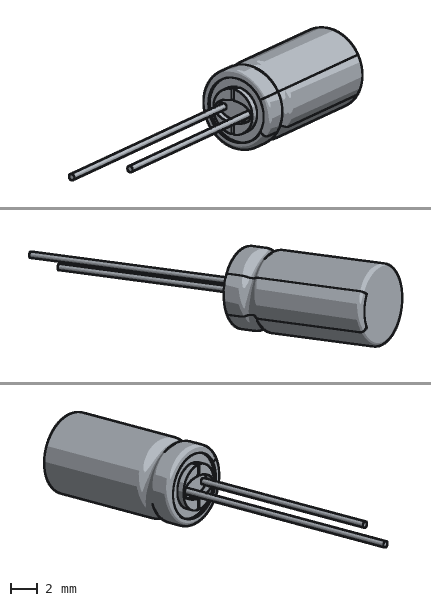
import cadquery as cq
import math


can_diameter = 6.3
can_radius = can_diameter / 2
overall_height = 12.5
foot_standoff = 0.4
can_bottom = foot_standoff
can_top = overall_height
edge_fillet = 0.3

groove_center = can_bottom + 2.2
groove_depth = 0.34
groove_half_width = 0.76
groove_root_half_width = 0.41

stripe_angle = 60
wall_thickness = 0.6

plug_radius = can_radius - wall_thickness
plug_recess = 0.2
plug_face = can_bottom + plug_recess
plug_thickness = 1.0
plug_back = plug_face + plug_thickness

feet_radius = 1.8
vent_slot_width = 0.2
window_half_length = 1.65
window_half_height = 0.9

lead_diameter = 0.5
lead_spacing = 2.5
long_lead_length = 19.0
short_lead_length = 15.0


def cylinder(radius, y_start, y_end, x=0):
    """Cylinder parallel to Y between two stations."""
    plane = cq.Plane(origin=(x, y_start, 0), xDir=(1, 0, 0), normal=(0, 1, 0))
    return cq.Workplane(plane).circle(radius).extrude(y_end - y_start)


def can_envelope():
    """Solid of the whole can, stripe included, revolved about Y."""
    turn = 2 * math.atan(groove_depth / groove_half_width)
    root_radius = groove_root_half_width / math.sin(turn)
    shoulder_radius = groove_half_width / math.sin(turn) - root_radius
    junction_radius = can_radius - shoulder_radius * (1 - math.cos(turn))
    shoulder_mid_radius = can_radius - shoulder_radius * (1 - math.cos(turn / 2))
    shoulder_mid_offset = groove_half_width - shoulder_radius * math.sin(turn / 2)

    profile = (
        cq.Workplane("XY")
        .moveTo(0, can_bottom)
        .lineTo(can_radius, can_bottom)
        .lineTo(can_radius, groove_center - groove_half_width)
        .threePointArc(
            (shoulder_mid_radius, groove_center - shoulder_mid_offset),
            (junction_radius, groove_center - groove_root_half_width),
        )
        .threePointArc(
            (can_radius - groove_depth, groove_center),
            (junction_radius, groove_center + groove_root_half_width),
        )
        .threePointArc(
            (shoulder_mid_radius, groove_center + shoulder_mid_offset),
            (can_radius, groove_center + groove_half_width),
        )
        .lineTo(can_radius, can_top)
        .lineTo(0, can_top)
        .close()
    )
    solid = profile.revolve(360, (0, 0, 0), (0, 1, 0))
    return solid.faces("<Y or >Y").edges().fillet(edge_fillet)


def stripe_sector():
    """Sector of a tube around +X that bounds the polarity stripe."""
    half_angle = math.radians(stripe_angle / 2)
    reach = 2 * can_radius
    wedge = (
        cq.Workplane("XZ")
        .polyline([
            (0, 0),
            (reach, -reach * math.tan(half_angle)),
            (reach, reach * math.tan(half_angle)),
        ])
        .close()
        .extrude(-can_top)
    )
    return wedge.cut(cylinder(plug_radius, 0, can_top))


def make_can():
    mouth = cylinder(plug_radius, can_bottom, plug_back)
    return can_envelope().cut(stripe_sector()).cut(mouth)


def make_stripe():
    return can_envelope().intersect(stripe_sector())


def make_plug():
    window = (
        cq.Workplane("XZ")
        .ellipse(window_half_length, window_half_height)
        .extrude(-plug_face)
    )
    vent_slot = cq.Workplane("XZ").rect(vent_slot_width, 2 * feet_radius).extrude(-plug_face)
    feet = cylinder(feet_radius, 0, plug_face).cut(window).cut(vent_slot)
    return cylinder(plug_radius, plug_face, plug_back).union(feet)


def make_lead(x, length):
    """Lead standing on the plug face, reaching the given length below the feet."""
    return cylinder(lead_diameter / 2, -length, plug_face, x)


can = make_can()
stripe = make_stripe()
plug = make_plug()
leads = [
    make_lead(-lead_spacing / 2, long_lead_length),
    make_lead(lead_spacing / 2, short_lead_length),
]

result = cq.Compound.makeCompound(
    [can.val(), stripe.val(), plug.val(), *[lead.val() for lead in leads]]
)